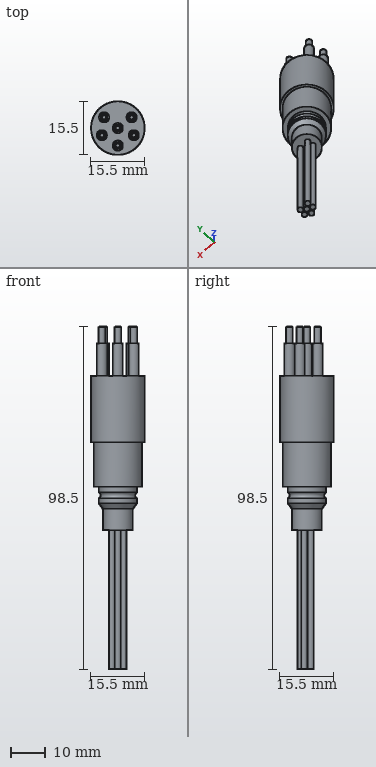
import cadquery as cq
import math

TOTAL_LENGTH = 98.5
WIRE_LENGTH = 39.9
BOSS_TOP = 46.0
COLLAR_BOTTOM = 47.6
GROOVE_BOTTOM = 49.1
GROOVE_TOP = 50.7
BODY_BOTTOM = 52.3
HEAD_BOTTOM = 65.1
HEAD_TOP = 84.2
PIN_SHOULDER = 93.6

HEAD_DIAMETER = 15.5
BODY_DIAMETER = 14.0
COLLAR_DIAMETER = 11.0
BOSS_DIAMETER = 8.7
GROOVE_DEPTH = 0.5

UPPER_CONTACT_ANGLE = 38.0
LOWER_CONTACT_ANGLE = 24.0
CONTACT_ANGLES = (
    UPPER_CONTACT_ANGLE,
    180.0 - UPPER_CONTACT_ANGLE,
    180.0 + LOWER_CONTACT_ANGLE,
    270.0,
    360.0 - LOWER_CONTACT_ANGLE,
)

PIN_BASE_DIAMETER = 3.0
PIN_TIP_DIAMETER = 2.0
PIN_TIP_CHAMFER = 0.4
PIN_CIRCLE_RADIUS = 5.0

WIRE_DIAMETER = 1.7
WIRE_CIRCLE_RADIUS = 1.9


def contact_places(radius):
    """The centre point followed by one point per outer contact on a circle."""
    ring = []
    for angle in CONTACT_ANGLES:
        turn = math.radians(angle)
        ring.append((radius * math.cos(turn), radius * math.sin(turn)))
    return [(0, 0)] + ring


def turned_body():
    """Head, body, grooved collar and wire boss, revolved about Z."""
    head_radius = HEAD_DIAMETER / 2
    body_radius = BODY_DIAMETER / 2
    collar_radius = COLLAR_DIAMETER / 2
    boss_radius = BOSS_DIAMETER / 2
    groove_middle = (collar_radius - GROOVE_DEPTH, (GROOVE_BOTTOM + GROOVE_TOP) / 2)
    profile = (
        cq.Workplane("XZ")
        .moveTo(0, WIRE_LENGTH)
        .lineTo(boss_radius, WIRE_LENGTH)
        .lineTo(boss_radius, BOSS_TOP)
        .lineTo(collar_radius, COLLAR_BOTTOM)
        .lineTo(collar_radius, GROOVE_BOTTOM)
        .threePointArc(groove_middle, (collar_radius, GROOVE_TOP))
        .lineTo(collar_radius, BODY_BOTTOM)
        .lineTo(body_radius, BODY_BOTTOM)
        .lineTo(body_radius, HEAD_BOTTOM)
        .lineTo(head_radius, HEAD_BOTTOM)
        .lineTo(head_radius, HEAD_TOP)
        .lineTo(0, HEAD_TOP)
        .close()
    )
    return profile.revolve(360, (0, 0, 0), (0, 1, 0))


def contact_pin(place):
    """Thick base with a thinner chamfered tip, standing on the head."""
    base = (
        cq.Workplane("XY", origin=(*place, HEAD_TOP))
        .circle(PIN_BASE_DIAMETER / 2)
        .extrude(PIN_SHOULDER - HEAD_TOP)
    )
    tip = (
        cq.Workplane("XY", origin=(*place, PIN_SHOULDER))
        .circle(PIN_TIP_DIAMETER / 2)
        .extrude(TOTAL_LENGTH - PIN_SHOULDER)
        .faces(">Z")
        .chamfer(PIN_TIP_CHAMFER)
    )
    return base.union(tip)


def wire(place):
    """Straight round wire hanging from the boss."""
    return cq.Workplane("XY", origin=(*place, 0)).circle(WIRE_DIAMETER / 2).extrude(WIRE_LENGTH)


result = turned_body()
for pin_place in contact_places(PIN_CIRCLE_RADIUS):
    result = result.union(contact_pin(pin_place))
for wire_place in contact_places(WIRE_CIRCLE_RADIUS):
    result = result.union(wire(wire_place))